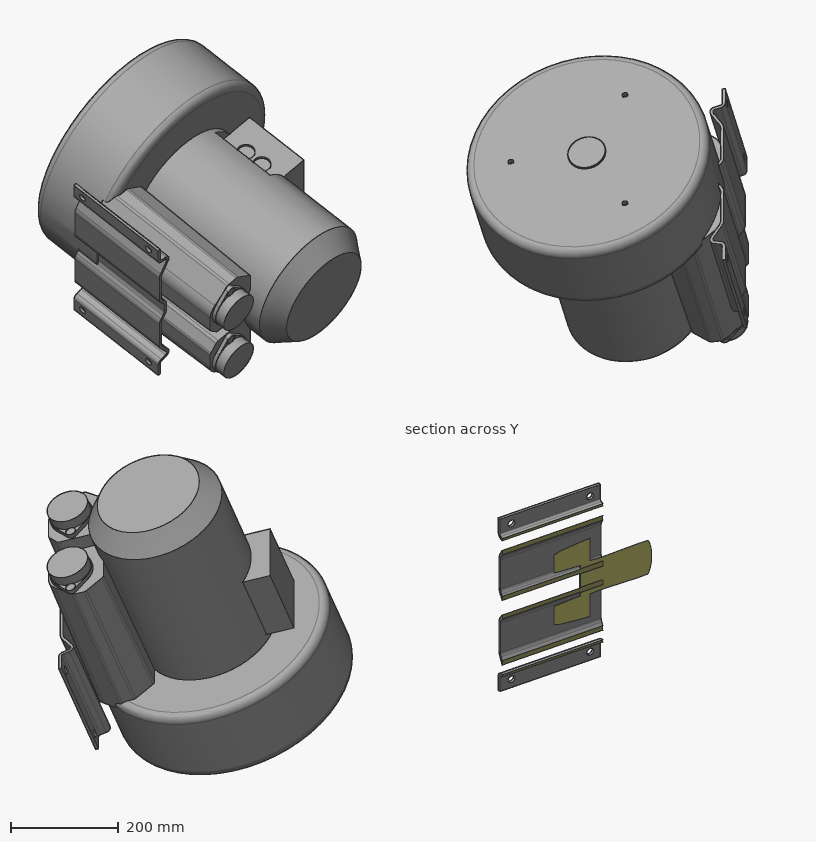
import cadquery as cq
import math


HUB_RADIUS = 36.0
HUB_HEIGHT = 3.0
HUB_CHAMFER = 1.0
HOUSING_RADIUS = 229.5
HOUSING_FRONT = HUB_HEIGHT
HOUSING_REAR = 164.0
HOUSING_FILLET = 16.0
BRIDGE_HALF_WIDTH = 42.5
SCREW_HOLE_RADIUS = 5.5
SCREW_HOLE_DEPTH = 10.5
SCREW_CIRCLE_RADIUS = 144.0
SCREW_COUNT = 3
MOTOR_RADIUS = 130.5
MOTOR_CONE_START = 488.5
MOTOR_END = 529.0
MOTOR_END_RADIUS = 100.0

SILENCER_START = 143.0
SILENCER_END = 449.5
SILENCER_DRAFT = 1.0
SILENCER_SECTION = [
    (-109.0, 10.5),
    (-109.0, 109.5),
    (-147.5, 140.0),
    (-175.5, 140.0),
    (-227.5, 97.0),
    (-227.5, 35.0),
    (-206.5, 10.5),
]
SILENCER_LARGE_CORNER = SILENCER_SECTION[4]
SILENCER_LARGE_FILLET = 35.0
SILENCER_SMALL_FILLET = 8.0
PIPE_Y = -175.5
PIPE_Z = 75.5
PIPE_RADIUS = 39.5
PIPE_END = 478.0
FLANGE_RADIUS = 41.0
FLANGE_THICKNESS = 8.0
BOLT_RADIUS = 9.5
BOLT_OFFSET = 47.5
BOLT_HEAD_RISE = 1.5

SHEET = 6.0
BRACKET_START = 115.5
BRACKET_END = 333.5
FOOT_Y = -240.5
FLANGE_LINE_Y = FOOT_Y + SHEET / 2
FLANGE_TOP_Z = 197.0
PAD_LINE_Y = -235.0
STRIP_LINE_Y = -221.5
TIGHT_BEND = 5.0
WIDE_BEND = 15.5
BRACKET_LINE = [
    (FLANGE_LINE_Y, FLANGE_TOP_Z, None),
    (FLANGE_LINE_Y, 158.0, TIGHT_BEND),
    (-210.0, 152.0, TIGHT_BEND),
    (PAD_LINE_Y, 111.5, WIDE_BEND),
    (PAD_LINE_Y, 33.0, WIDE_BEND),
    (STRIP_LINE_Y, 16.0, WIDE_BEND),
]
FOOT_HOLE_RADIUS = 7.5
FOOT_HOLE_XS = (137.5, 308.0)
FOOT_HOLE_Z = 178.0

BOX_START = 175.0
BOX_END = 316.0
BOX_INNER_Y = 76.5
BOX_OUTER_Y = 167.5
BOX_HALF_HEIGHT = 63.5
ENTRY_RADIUS = 17.0
ENTRY_DEPTH = 5.5
ENTRY_XS = (225.5, 266.0)
ENTRY_Y = 106.5


def section_plane(x):
    """YZ plane at the given X; its local coordinates are (y, z)."""
    return cq.Workplane("YZ", origin=(x, 0, 0))


def make_drum():
    """Round blower drum with a raised hub and blind screw holes in its front face."""
    drum = section_plane(HOUSING_FRONT).circle(HOUSING_RADIUS).extrude(HOUSING_REAR - HOUSING_FRONT)
    drum = drum.edges("%CIRCLE").fillet(HOUSING_FILLET)
    hub = section_plane(0).circle(HUB_RADIUS).extrude(HUB_HEIGHT).faces("<X").chamfer(HUB_CHAMFER)
    screw_holes = (
        section_plane(HOUSING_FRONT)
        .polarArray(SCREW_CIRCLE_RADIUS, 0, 360, SCREW_COUNT)
        .circle(SCREW_HOLE_RADIUS)
        .extrude(SCREW_HOLE_DEPTH)
    )
    return drum.union(hub).cut(screw_holes)


def make_drum_bridge():
    """Part of the drum between the silencers, where its rear edge stays sharp."""
    length = HOUSING_REAR - SILENCER_START
    cylinder = section_plane(SILENCER_START).circle(HOUSING_RADIUS).extrude(length)
    strip = (
        section_plane(SILENCER_START)
        .center(-HOUSING_RADIUS / 2, 0)
        .rect(HOUSING_RADIUS, 2 * BRIDGE_HALF_WIDTH)
        .extrude(length)
    )
    return cylinder.intersect(strip)


def make_motor():
    """Round motor with a conical end, starting inside the drum."""
    profile = [
        (SILENCER_START, 0),
        (SILENCER_START, MOTOR_RADIUS),
        (MOTOR_CONE_START, MOTOR_RADIUS),
        (MOTOR_END, MOTOR_END_RADIUS),
        (MOTOR_END, 0),
    ]
    return cq.Workplane("XY").polyline(profile).close().revolve(360, (0, 0, 0), (1, 0, 0))


def make_chest():
    """Tapered silencer chest with rounded long edges."""
    length = SILENCER_END - SILENCER_START
    outline = section_plane(SILENCER_START).polyline(SILENCER_SECTION).close()
    chest = outline.extrude(length, taper=SILENCER_DRAFT)
    long_edges = chest.edges("not(#X)")
    large_y, large_z = SILENCER_LARGE_CORNER
    large_spot = ((SILENCER_START + SILENCER_END) / 2, large_y, large_z)
    large_edge = long_edges.edges(cq.NearestToPointSelector(large_spot))
    small_edges = [e for e in long_edges.vals() if not e.isSame(large_edge.val())]
    chest = chest.newObject(small_edges).fillet(SILENCER_SMALL_FILLET)
    large_edge = chest.edges("not(#X)").edges(cq.NearestToPointSelector(large_spot))
    return large_edge.fillet(SILENCER_LARGE_FILLET)


def make_pipe_connection():
    """Two-bolt diamond flange with its bolt heads and pipe."""
    lean = math.asin((FLANGE_RADIUS - BOLT_RADIUS) / BOLT_OFFSET)
    body_y = FLANGE_RADIUS * math.cos(lean)
    body_z = FLANGE_RADIUS * math.sin(lean)
    tip_y = BOLT_RADIUS * math.cos(lean)
    tip_z = BOLT_OFFSET + BOLT_RADIUS * math.sin(lean)
    tip_end = BOLT_OFFSET + BOLT_RADIUS
    base = cq.Workplane("YZ", origin=(SILENCER_END, PIPE_Y, PIPE_Z))
    flange = (
        base.moveTo(body_y, -body_z)
        .threePointArc((FLANGE_RADIUS, 0), (body_y, body_z))
        .lineTo(tip_y, tip_z)
        .threePointArc((0, tip_end), (-tip_y, tip_z))
        .lineTo(-body_y, body_z)
        .threePointArc((-FLANGE_RADIUS, 0), (-body_y, -body_z))
        .lineTo(-tip_y, -tip_z)
        .threePointArc((0, -tip_end), (tip_y, -tip_z))
        .close()
        .extrude(FLANGE_THICKNESS)
    )
    bolts = (
        base.pushPoints([(0, BOLT_OFFSET), (0, -BOLT_OFFSET)])
        .circle(BOLT_RADIUS)
        .extrude(FLANGE_THICKNESS + BOLT_HEAD_RISE)
    )
    pipe = base.circle(PIPE_RADIUS).extrude(PIPE_END - SILENCER_END)
    return flange.union(bolts).union(pipe)


def offset_corners(points, distance):
    """Mitred parallel of an open line, to the left of its direction for a positive distance."""
    headings = [math.atan2(q[1] - p[1], q[0] - p[0]) for p, q in zip(points, points[1:])]
    corners = []
    for i, (y, z) in enumerate(points):
        before = headings[max(i - 1, 0)]
        after = headings[min(i, len(headings) - 1)]
        normal = (before + after) / 2 + math.pi / 2
        reach = distance / math.cos((after - before) / 2)
        corners.append((y + reach * math.cos(normal), z + reach * math.sin(normal)))
    return corners


def make_bracket():
    """Bent sheet from the upper mounting flange down to the lower one, with rounded bends."""
    lower_half = [(y, -z, radius) for y, z, radius in reversed(BRACKET_LINE)]
    line = BRACKET_LINE + lower_half
    points = [(y, z) for y, z, radius in line]
    left = offset_corners(points, SHEET / 2)
    right = offset_corners(points, -SHEET / 2)
    sheet = (
        section_plane(BRACKET_START)
        .polyline(left + right[::-1])
        .close()
        .extrude(BRACKET_END - BRACKET_START)
    )

    middle_x = (BRACKET_START + BRACKET_END) / 2
    for i in range(1, len(points) - 1):
        (y0, z0), (y1, z1), (y2, z2) = points[i - 1 : i + 2]
        turns_left = (y1 - y0) * (z2 - z1) - (z1 - z0) * (y2 - y1) > 0
        inside, outside = (left[i], right[i]) if turns_left else (right[i], left[i])
        inside_radius = line[i][2]
        for corner, radius in ((inside, inside_radius), (outside, inside_radius + SHEET)):
            spot = cq.NearestToPointSelector((middle_x, *corner))
            sheet = sheet.edges("|X").edges(spot).fillet(radius)

    hole_spots = [(x, side * FOOT_HOLE_Z) for x in FOOT_HOLE_XS for side in (1, -1)]
    holes = (
        cq.Workplane("XZ", origin=(0, FOOT_Y + SHEET, 0))
        .pushPoints(hole_spots)
        .circle(FOOT_HOLE_RADIUS)
        .extrude(SHEET)
    )
    return sheet.cut(holes)


def box_block(bottom, top):
    """Block with the plan outline of the terminal box between two heights."""
    corner = cq.Workplane("XY", origin=(BOX_START, BOX_INNER_Y, bottom))
    return corner.box(BOX_END - BOX_START, BOX_OUTER_Y - BOX_INNER_Y, top - bottom, centered=False)


def make_terminal_box():
    """Terminal box with two shallow round cable entries in its top."""
    entries = (
        cq.Workplane("XY", origin=(0, 0, BOX_HALF_HEIGHT))
        .pushPoints([(x, ENTRY_Y) for x in ENTRY_XS])
        .circle(ENTRY_RADIUS)
        .extrude(-ENTRY_DEPTH)
    )
    return box_block(-BOX_HALF_HEIGHT, BOX_HALF_HEIGHT).cut(entries)


def make_blower(bracket):
    """Drum, motor and both silencers in one, with a slot for the bracket and a pocket for the box."""
    silencer = make_chest().union(make_pipe_connection())
    housing = make_drum().union(make_drum_bridge()).union(make_motor())
    blower = housing.union(silencer).union(silencer.mirror("XY"))
    box_pocket = box_block(-BOX_HALF_HEIGHT, MOTOR_RADIUS)
    return blower.cut(box_pocket).cut(bracket)


bracket = make_bracket()
blower = make_blower(bracket)
terminal_box = make_terminal_box()

result = cq.Compound.makeCompound([blower.val(), bracket.val(), terminal_box.val()])